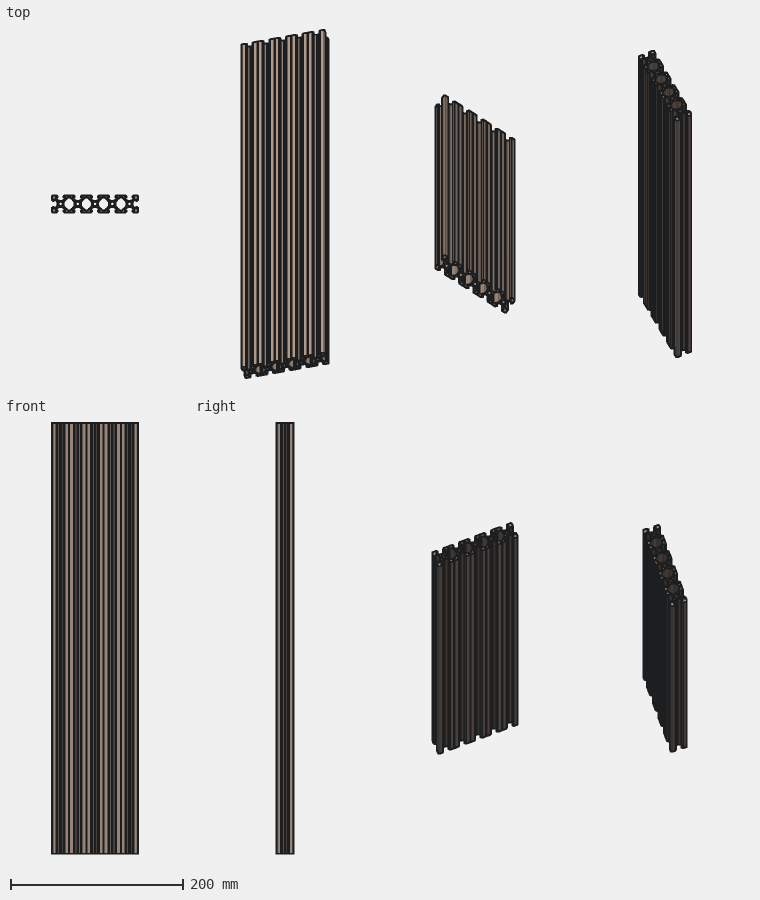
import cadquery as cq
PITCH = 20.0
MODULE_COUNT = 5
LENGTH = 500.0
CORNER_RADIUS = 1.5

MOUTH_HALF = 4.7
THROAT_HALF = 3.2
LIP_THICKNESS = 2.0
LIP_OVERHANG = 2.1
LIP_ROOT_RADIUS = 0.2
FLOOR_HALF = 2.5
FLOOR_RADIUS = 2.0
FLOOR_GROOVE_HALF = 0.6
FLOOR_GROOVE_DEPTH = 0.5
WEB_RADIUS = 1.0

CORE_HALF = 3.9
BORE_DIAMETER = 5.0

ROOF_THICKNESS = 2.75
ROOF_HALF = 1.6
HOLLOW_RADIUS = 2.35

GROOVE_WIDTH = 0.8
GROOVE_DEPTH = 1.75

HALF_PITCH = PITCH / 2
WIDTH = PITCH * MODULE_COUNT
module_centres = [(i - (MODULE_COUNT - 1) / 2) * PITCH for i in range(MODULE_COUNT)]
hollow_centres = [x + HALF_PITCH for x in module_centres[:-1]]


def mirrored(right_points):
    """Close an outline by adding the mirror image of its right half."""
    return right_points + [(-x, y) for x, y in reversed(right_points)]


def prism(points):
    """Extrude a closed outline over the full length."""
    return cq.Workplane("XY").polyline(points).close().extrude(LENGTH)


def round_corners(body, corner, radius):
    """Round the lengthwise edges at a corner and at its mirror images in X and Y."""
    tolerance = 0.005
    corner_x, corner_y = corner

    def at_corner(edge):
        middle = edge.Center()
        x_error = abs(abs(middle.x) - corner_x)
        y_error = abs(abs(middle.y) - corner_y)
        return max(x_error, y_error) < tolerance

    return body.edges("|Z").filter(at_corner).fillet(radius)


def make_slot():
    """V-slot opening toward +Y, in a module centred on the origin."""
    side_half = THROAT_HALF + LIP_OVERHANG
    mouth_edge = (MOUTH_HALF, HALF_PITCH)
    throat_outer = (THROAT_HALF, HALF_PITCH - (MOUTH_HALF - THROAT_HALF))
    throat_inner = (THROAT_HALF, HALF_PITCH - LIP_THICKNESS)
    lip_root = (side_half, HALF_PITCH - LIP_THICKNESS)
    web_end = (side_half, CORE_HALF + side_half - FLOOR_HALF)
    floor_end = (FLOOR_HALF, CORE_HALF)
    slot = prism(mirrored([mouth_edge, throat_outer, throat_inner, lip_root, web_end, floor_end]))
    slot = round_corners(slot, lip_root, LIP_ROOT_RADIUS)
    slot = round_corners(slot, web_end, WEB_RADIUS)
    slot = round_corners(slot, floor_end, FLOOR_RADIUS)
    groove_tip = (0, CORE_HALF - FLOOR_GROOVE_DEPTH)
    groove_edges = [(FLOOR_GROOVE_HALF, CORE_HALF), (FLOOR_GROOVE_HALF, HALF_PITCH - LIP_THICKNESS)]
    return slot.union(prism([groove_tip] + mirrored(groove_edges)))


def make_hollow():
    """Hollow with 45 degree walls, centred on the origin."""
    half_width = HALF_PITCH - CORE_HALF
    roof_height = HALF_PITCH - ROOF_THICKNESS
    side_height = roof_height - (half_width - ROOF_HALF)
    side_end = (half_width, side_height)
    roof_end = (ROOF_HALF, roof_height)
    right_half = [(ROOF_HALF, -roof_height), (half_width, -side_height), side_end, roof_end]
    hollow = prism(mirrored(right_half))
    return round_corners(hollow, side_end, HOLLOW_RADIUS)


def turned(body, angle):
    """Turn a body about the Z axis."""
    return body.rotate((0, 0, 0), (0, 0, 1), angle)


slot = make_slot()
hollow = make_hollow()

profile = cq.Workplane("XY").rect(WIDTH, PITCH).extrude(LENGTH)
profile = profile.edges("|Z").fillet(CORNER_RADIUS)

for x in module_centres:
    for angle in (0, 180):
        profile = profile.cut(turned(slot, angle).translate((x, 0, 0)))

profile = profile.cut(turned(slot, 90).translate((module_centres[0], 0, 0)))
profile = profile.cut(turned(slot, -90).translate((module_centres[-1], 0, 0)))

for x in hollow_centres:
    profile = profile.cut(hollow.translate((x, 0, 0)))

bore_points = [(x, 0) for x in module_centres]
bores = cq.Workplane("XY").pushPoints(bore_points).circle(BORE_DIAMETER / 2).extrude(LENGTH)
profile = profile.cut(bores)

groove_points = [(x, y) for x in hollow_centres for y in (-HALF_PITCH, HALF_PITCH)]
grooves = cq.Workplane("XY").pushPoints(groove_points).rect(GROOVE_WIDTH, 2 * GROOVE_DEPTH)
grooves = grooves.extrude(LENGTH)

result = profile.cut(grooves)